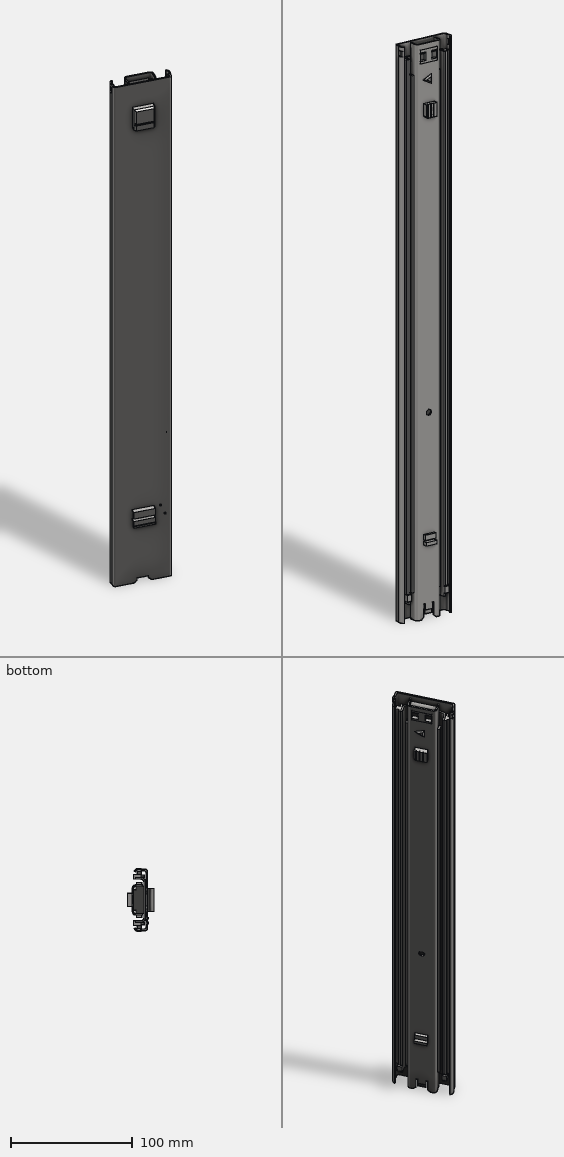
import cadquery as cq
import math


LENGTH = 500.0
BOTTOM = -LENGTH / 2
HALF_WIDTH = 26.0
HALF_DEPTH = 11.0

OUTER_BACK = 5.5
OUTER_WALL = 1.25
OUTER_BEND = 2.0
BEAD_X = -1.5
BEAD_RADIUS = 4.5
BEAD_END_X = 0.75
LIP_ANGLE = 62
RACE_BEND = 1.5
STOP_WINDOW_X = (-4.0, 0.5)
STOP_WINDOW_Z = (241.5, 246.5)

MIDDLE_BOTTOM, MIDDLE_TOP = -235.0, 238.0
MIDDLE_BACK = 4.0
MIDDLE_FRONT = -4.5
MIDDLE_WALL = 1.5
MIDDLE_HALF_WIDTH = 18.5
MIDDLE_BEND = 4.0
STOP_TAB_Z = (-232.0, -226.0)
STOP_TAB_REACH = 21.0

INNER_FRONT = -7.0
INNER_BACK = 1.5
INNER_WALL = 1.25
INNER_HALF_WIDTH = 12.5
INNER_BEND = 3.0

OUTER_CAGE_X = (-4.5, 3.0)
OUTER_CAGE_WIDTH = 2.0
BALL_STRIP_X = (-3.0, 0.5)
BALL_STRIP_WIDTH = 5.0
OUTER_CAGE_Z = (STOP_TAB_Z[1], MIDDLE_TOP)
INNER_CAGE_X = (-3.5, 1.0)
INNER_CAGE_WIDTH = 2.0
INNER_CAGE_Z = (-226.0, 223.0)

LATCH_HALF_WIDTH = 8.5
LATCH_Z = (233.0, 245.0)
LATCH_THICKNESS = 3.0
LATCH_BASE_X = (-4.0, 2.5)
LATCH_STEM_WIDTH = 6.0
LATCH_FOOT_HEIGHT = 2.0
LATCH_HEAD_HEIGHT = 4.5
LATCH_BEVEL = 2.0

NOTCH_TOP = -245.5
NOTCH_HALF_WIDTH = 5.0
NOTCH_MOUTH_HALF_WIDTH = 7.5
NOTCH_FLARE_HEIGHT = 2.5
SLIT_WIDTH = 1.5
SLIT_TOP = -236.5
TONGUE_STEP_Z = -242.0
TONGUE_STEP = 0.5

TAB_HALF_WIDTH = 5.5
UPPER_TAB_Z = (186.0, 198.0)
UPPER_TAB_CHAMFER = 1.5
RIB_GROOVES_Y = (-2.5, 0.5, 3.5)
RIB_GROOVE_WIDTH = 0.5
RIB_GROOVE_DEPTH = 1.0
HOOK_TOP, HOOK_BOTTOM = -176.0, -185.0
HOOK_SHELF_BOTTOM = -180.5
HOOK_LIP_TOP = -182.0
HOOK_SHELF_X = -9.5
ARROW_HEIGHT = 1.5
ARROW_TAPER = 40
ARROW_POINTS = [(6.0, 218.5), (-2.5, 222.5), (-2.5, 214.0)]
RIVET_HOLE_DIAMETER = 5.0
RIVET_HOLE_Z = -71.0

CATCH_Y = (-9.0, 9.0)
CATCH_Z = (206.5, 227.0)
CATCH_CHAMFER = 1.5
CATCH_GROOVE_Z = (211.5, 213.0)
CATCH_GROOVE_DEPTH = 1.5
CLIP_HALF_WIDTH = 9.5
CLIP_PLATE_X = (7.5, 10.0)
CLIP_PLATES_Z = [(-182.5, -176.0), (-191.0, -185.0)]
CLIP_FOOT_HEIGHT = 1.0
CLIP_TOE_HEIGHT = 1.5
PIPS_YZ = [(15.0, -176.5), (19.0, -185.5)]
PIP_SIZE = 1.0
PIP_WIDTH = 1.5

ARC_MIDDLE = 1 - math.sqrt(0.5)


def block(x_range, y_range, z_range):
    """Box between two limits along each axis."""
    size = [high - low for low, high in (x_range, y_range, z_range)]
    return cq.Workplane().box(*size, centered=False).translate((x_range[0], y_range[0], z_range[0]))


def centred(half_width):
    return (-half_width, half_width)


def mirrored(half):
    """A half section on the +Y side joined with its mirror image."""
    return half.union(half.mirror("XZ")).clean()


def channel(back_x, tip_x, half_width, wall, bend, z_range):
    """Plain C channel: web at back_x, flanges that reach to tip_x, round bends."""
    inward = math.copysign(1, tip_x - back_x)
    inner_bend = bend - wall
    inner_x = back_x + inward * wall
    inner_y = half_width - wall
    half = (
        cq.Workplane().workplane(offset=z_range[0])
        .moveTo(back_x, 0)
        .lineTo(back_x, half_width - bend)
        .threePointArc(
            (back_x + inward * bend * ARC_MIDDLE, half_width - bend * ARC_MIDDLE),
            (back_x + inward * bend, half_width),
        )
        .lineTo(tip_x, half_width)
        .lineTo(tip_x, inner_y)
        .lineTo(back_x + inward * bend, inner_y)
        .threePointArc(
            (inner_x + inward * inner_bend * ARC_MIDDLE, inner_y - inner_bend * ARC_MIDDLE),
            (inner_x, half_width - bend),
        )
        .lineTo(inner_x, 0)
        .close()
        .extrude(z_range[1] - z_range[0])
    )
    return mirrored(half)


def outer_section():
    """Outer rail: C section whose flanges carry a round ball race ending in a lip."""
    bead_y = HALF_WIDTH - BEAD_RADIUS
    race_radius = BEAD_RADIUS - OUTER_WALL
    end_offset = BEAD_END_X - BEAD_X
    flange_y = bead_y + math.sqrt(BEAD_RADIUS**2 - end_offset**2)
    race_y = bead_y + math.sqrt(race_radius**2 - end_offset**2)
    web_x = OUTER_BACK - OUTER_WALL
    lip = math.radians(LIP_ANGLE)

    def lip_point(radius):
        return (BEAD_X - radius * math.sin(lip), bead_y + radius * math.cos(lip))

    half = (
        cq.Workplane().workplane(offset=BOTTOM)
        .moveTo(OUTER_BACK, 0)
        .lineTo(OUTER_BACK, flange_y - OUTER_BEND)
        .threePointArc(
            (OUTER_BACK - OUTER_BEND * ARC_MIDDLE, flange_y - OUTER_BEND * ARC_MIDDLE),
            (OUTER_BACK - OUTER_BEND, flange_y),
        )
        .lineTo(BEAD_END_X, flange_y)
        .threePointArc((BEAD_X, HALF_WIDTH), lip_point(BEAD_RADIUS))
        .lineTo(*lip_point(race_radius))
        .threePointArc((BEAD_X, bead_y + race_radius), (BEAD_END_X, race_y))
        .lineTo(web_x - RACE_BEND, race_y)
        .threePointArc(
            (web_x - RACE_BEND * ARC_MIDDLE, race_y - RACE_BEND * ARC_MIDDLE),
            (web_x, race_y - RACE_BEND),
        )
        .lineTo(web_x, 0)
        .close()
        .extrude(LENGTH)
    )
    return mirrored(half)


def bottom_notch():
    """Flared notch cut through the webs at the bottom end."""
    flare_top = BOTTOM + NOTCH_FLARE_HEIGHT
    return (
        cq.Workplane("YZ").workplane(offset=INNER_FRONT)
        .polyline([
            (-NOTCH_MOUTH_HALF_WIDTH, BOTTOM),
            (NOTCH_MOUTH_HALF_WIDTH, BOTTOM),
            (NOTCH_HALF_WIDTH, flare_top),
            (NOTCH_HALF_WIDTH, NOTCH_TOP),
            (-NOTCH_HALF_WIDTH, NOTCH_TOP),
            (-NOTCH_HALF_WIDTH, flare_top),
        ])
        .close()
        .extrude(OUTER_BACK - INNER_FRONT)
    )


def catch():
    """Chamfered block on the back of the outer web, with a groove across it."""
    body = block((OUTER_BACK, HALF_DEPTH), CATCH_Y, CATCH_Z)
    body = body.edges("(>X and |Z) or (>X and >Z)").chamfer(CATCH_CHAMFER)
    groove = block((HALF_DEPTH - CATCH_GROOVE_DEPTH, HALF_DEPTH), CATCH_Y, CATCH_GROOVE_Z)
    return body.cut(groove)


def clip():
    """Two plates behind the outer web, each standing on a thin foot; the lower one has a toe."""
    width = centred(CLIP_HALF_WIDTH)
    plates = cq.Workplane()
    for bottom, top in CLIP_PLATES_Z:
        foot = block((OUTER_BACK, CLIP_PLATE_X[0]), width, (top - CLIP_FOOT_HEIGHT, top))
        plates = plates.add(foot.union(block(CLIP_PLATE_X, width, (bottom, top))))
    toe_bottom = CLIP_PLATES_Z[-1][0]
    toe = block((CLIP_PLATE_X[0], HALF_DEPTH), width, (toe_bottom, toe_bottom + CLIP_TOE_HEIGHT))
    return plates.add(toe).combine()


def pips():
    """Small square pips on the back of the outer web."""
    pegs = cq.Workplane()
    for y, z in PIPS_YZ:
        peg = block((OUTER_BACK, OUTER_BACK + PIP_SIZE), (0, PIP_WIDTH), (0, PIP_SIZE))
        pegs = pegs.add(peg.translate((0, y - PIP_WIDTH / 2, z - PIP_SIZE / 2)))
    return pegs.combine()


def make_outer_rail():
    rail = outer_section()
    rail = rail.cut(block(STOP_WINDOW_X, centred(HALF_WIDTH), STOP_WINDOW_Z))
    rail = rail.cut(bottom_notch())
    return rail.union(catch()).union(clip()).union(pips())


def make_middle_rail():
    """C channel open towards -X, with a stop tab bent outwards from each flange."""
    rail = channel(
        MIDDLE_BACK, MIDDLE_FRONT, MIDDLE_HALF_WIDTH, MIDDLE_WALL, MIDDLE_BEND,
        (MIDDLE_BOTTOM, MIDDLE_TOP),
    )
    flange_y = MIDDLE_HALF_WIDTH - MIDDLE_WALL
    tab_x = (MIDDLE_FRONT - MIDDLE_WALL, MIDDLE_FRONT)
    tab = block(tab_x, (flange_y, STOP_TAB_REACH), STOP_TAB_Z)
    tab = tab.union(block((MIDDLE_FRONT, 0), (MIDDLE_HALF_WIDTH, STOP_TAB_REACH), STOP_TAB_Z))
    return rail.union(tab).union(tab.mirror("XZ"))


def ribbed_tab():
    """Raised block on the inner web with upright grooves and one chamfered lower corner."""
    tab = block((-HALF_DEPTH, INNER_FRONT), centred(TAB_HALF_WIDTH), UPPER_TAB_Z)
    tab = tab.edges("|X and >Y and <Z").chamfer(UPPER_TAB_CHAMFER)
    for y in RIB_GROOVES_Y:
        tab = tab.cut(block(
            (-HALF_DEPTH, -HALF_DEPTH + RIB_GROOVE_DEPTH), (y, y + RIB_GROOVE_WIDTH), UPPER_TAB_Z,
        ))
    return tab


def hook():
    """Shelf and longer lip below it, with a gap between them, on the inner web."""
    width = centred(TAB_HALF_WIDTH)
    shelf = block((HOOK_SHELF_X, INNER_FRONT), width, (HOOK_SHELF_BOTTOM, HOOK_TOP))
    lip = block((-HALF_DEPTH, INNER_FRONT), width, (HOOK_BOTTOM, HOOK_LIP_TOP))
    return shelf.add(lip).combine()


def arrow():
    """Raised arrow with sloping sides that points to +Y."""
    return (
        cq.Workplane("YZ").workplane(offset=INNER_FRONT)
        .polyline(ARROW_POINTS)
        .close()
        .extrude(-ARROW_HEIGHT, taper=ARROW_TAPER)
    )


def make_inner_rail():
    """C channel open towards +X, nested in the middle rail."""
    web_x = (INNER_FRONT, INNER_FRONT + INNER_WALL)
    rail = channel(
        INNER_FRONT, INNER_BACK, INNER_HALF_WIDTH, INNER_WALL, INNER_BEND,
        (BOTTOM, LENGTH / 2),
    )
    rail = rail.cut(block(web_x, centred(LATCH_HALF_WIDTH), LATCH_Z))
    rail = rail.cut(bottom_notch())
    for slit_y in (-NOTCH_HALF_WIDTH, NOTCH_HALF_WIDTH - SLIT_WIDTH):
        rail = rail.cut(block(web_x, (slit_y, slit_y + SLIT_WIDTH), (NOTCH_TOP, SLIT_TOP)))
    step_x = (INNER_FRONT, INNER_FRONT + TONGUE_STEP)
    rail = rail.cut(block(step_x, centred(NOTCH_HALF_WIDTH), (NOTCH_TOP, TONGUE_STEP_Z)))
    rivet_hole = (
        cq.Workplane("YZ").workplane(offset=INNER_FRONT)
        .center(0, RIVET_HOLE_Z)
        .circle(RIVET_HOLE_DIAMETER / 2)
        .extrude(INNER_WALL)
    )
    return rail.cut(rivet_hole).union(ribbed_tab()).union(hook()).union(arrow())


def both_sides(body):
    """The body and its mirror image as two separate solids."""
    return [body.val(), body.mirror("XZ").val()]


def make_outer_cage():
    """Strip along the outside of the middle flange, with a part that fills the race beside it."""
    inside = MIDDLE_HALF_WIDTH
    strip = block(OUTER_CAGE_X, (inside, inside + OUTER_CAGE_WIDTH), OUTER_CAGE_Z)
    return strip.union(block(BALL_STRIP_X, (inside, inside + BALL_STRIP_WIDTH), OUTER_CAGE_Z))


def make_inner_cage():
    """Plain strip along the outside of the inner flange."""
    inside = INNER_HALF_WIDTH
    return block(INNER_CAGE_X, (inside, inside + INNER_CAGE_WIDTH), INNER_CAGE_Z)


def make_latch():
    """I-shaped face with a bevelled head in the window of the inner web, on a wider base."""
    x_range = (INNER_FRONT, INNER_FRONT + LATCH_THICKNESS)
    bottom, top = LATCH_Z
    width = centred(LATCH_HALF_WIDTH)
    head = block(x_range, width, (top - LATCH_HEAD_HEIGHT, top))
    head = head.edges("<X and <Z").chamfer(LATCH_BEVEL)
    stem = block(x_range, centred(LATCH_STEM_WIDTH / 2), LATCH_Z)
    foot = block(x_range, width, (bottom, bottom + LATCH_FOOT_HEIGHT))
    base = block(LATCH_BASE_X, centred(INNER_HALF_WIDTH - INNER_WALL), LATCH_Z)
    return head.union(stem).union(foot).union(base)


outer_rail = make_outer_rail()
middle_rail = make_middle_rail()
inner_rail = make_inner_rail()
latch = make_latch()
outer_cages = both_sides(make_outer_cage())
inner_cages = both_sides(make_inner_cage())

result = cq.Compound.makeCompound([
    outer_rail.val(),
    middle_rail.val(),
    inner_rail.val(),
    latch.val(),
    *outer_cages,
    *inner_cages,
])